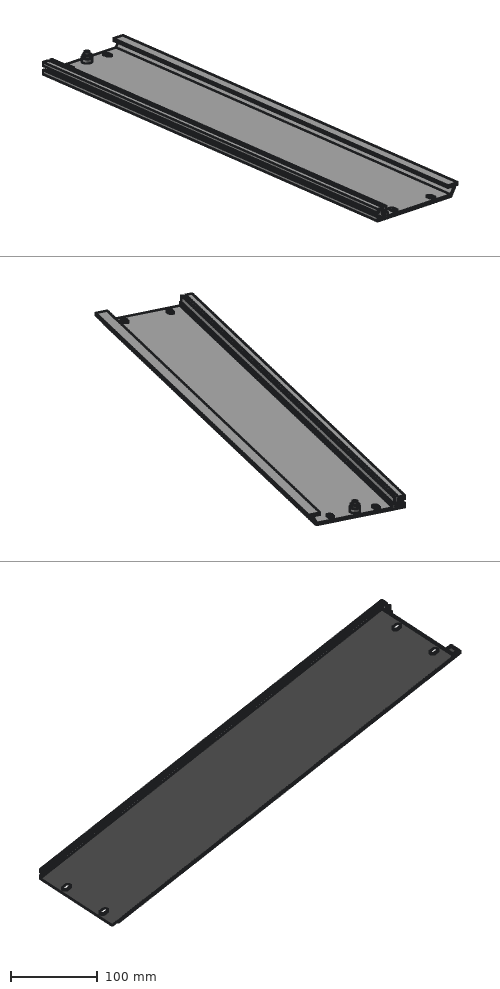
import cadquery as cq

length = 585.0
depth = 122.0
height = 15.0
back = depth / 2
front = -depth / 2
wall = 3.0

back_flange_depth = 14.5
back_web_top_inset = 2.5
back_web_foot_inset = 10.0
web_thickness = 2.5

fin_thickness = 2.0
fin_inset = 13.5
fin_foot_thickness = 3.5
fin_foot_height = 7.0
hook_flange_depth = 8.0
hook_web_foot_inset = 10.5
lip_depth = 3.0
lip_height = 5.0
hook_drop = 4.5

slot_length = 11.5
slot_width = 7.0
slot_end_distance = 10.0
slot_spacing = 58.0

stud_end_distance = 10.0
stud_offset = -2.5
stud_diameter = 6.0
washer_diameter = 12.0
washer_top = 8.0
nut_across_corners = 10.5
nut_top = 11.5


def extrude_profile(points):
    """Extrude a closed (Y, Z) outline along the full length."""
    return cq.Workplane("YZ").polyline(points).close().extrude(length / 2, both=True)


def bar(y_min, y_max, z_min, z_max):
    """Full-length rectangular bar."""
    return extrude_profile([(y_min, z_min), (y_max, z_min), (y_max, z_max), (y_min, z_max)])


def leaning_web(foot_y, top_y):
    """Sloping web rising from the floor to a flange; each Y is its back face."""
    flange_middle = height - wall / 2
    return extrude_profile([
        (foot_y, 0),
        (top_y, flange_middle),
        (top_y - web_thickness, flange_middle),
        (foot_y - web_thickness, 0),
    ])


def make_back_rail():
    flange = bar(back - back_flange_depth, back, height - wall, height)
    return flange.union(leaning_web(back - back_web_foot_inset, back - back_web_top_inset))


def make_fin():
    fin_front = front + fin_inset - wall / 2
    fin_back = fin_front + fin_thickness
    fin = bar(fin_front, fin_back, 0, height)
    return fin.union(bar(fin_front, fin_front + fin_foot_thickness, 0, fin_foot_height))


def make_hook():
    flange_back = front + hook_flange_depth
    flange = bar(front, flange_back, height - wall, height)
    web = leaning_web(front + hook_web_foot_inset, flange_back)
    nose = bar(front, front + lip_depth, height - hook_drop, height)
    lip = bar(front, front + lip_depth, 0, lip_height)
    return flange.union(web).union(nose).union(lip)


def make_slots():
    slot_x_spacing = length - 2 * slot_end_distance
    return (
        cq.Workplane("XY")
        .rarray(slot_x_spacing, slot_spacing, 2, 2)
        .slot2D(slot_length, slot_width)
        .extrude(wall)
    )


def make_stud():
    base = cq.Workplane("XY").center(stud_end_distance - length / 2, stud_offset)
    stud = base.circle(stud_diameter / 2).extrude(height)
    washer = base.circle(washer_diameter / 2).extrude(washer_top)
    nut = base.polygon(6, nut_across_corners).extrude(nut_top)
    return stud.union(washer).union(nut)


floor = bar(front, back - back_web_foot_inset, 0, wall)
profile = floor.union(make_back_rail()).union(make_fin()).union(make_hook())
result = profile.cut(make_slots()).union(make_stud())